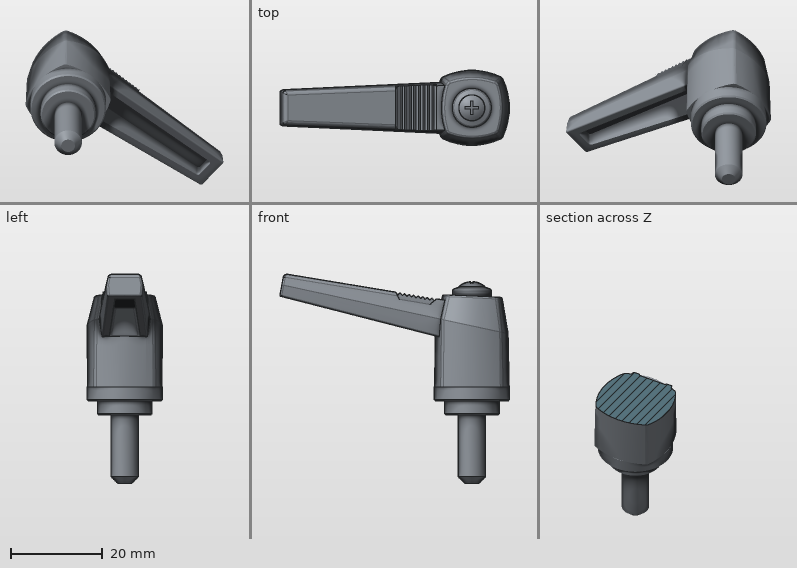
import cadquery as cq
import math


OVERALL_LENGTH = 50.15

STUD_DIA = 6.0
STUD_TIP_CHAMFER = 1.5
COLLAR_DIA = 12.0
COLLAR_BOTTOM_Z = 15.0
FLANGE_DIA = 16.5
FLANGE_BOTTOM_Z = 18.05
RIM_CHAMFER = 0.3

HUB_BOTTOM_Z = 21.05
BREAK_AXIS_Z = 34.4
BREAK_SLOPE = -0.216
HUB_TOP_AXIS_Z = 40.9
HUB_TOP_SLOPE = -0.045
HUB_BOTTOM_MID, HUB_BOTTOM_CORNER = 8.15, 6.6
BREAK_MID_X, BREAK_MID_Y, BREAK_CORNER = 7.9, 8.2, 6.4
HUB_TOP_MID_X, HUB_TOP_MID_Y, HUB_TOP_CORNER = 6.45, 6.55, 5.5
HUB_TOP_SHIFT_X = 0.15
HUB_CORNER_RADIUS = 1.25
HUB_TOP_RADIUS = 0.5

ROOT_X = -5.0
ROOT_TOP_Z, ROOT_BOTTOM_Z = 39.85, 31.45
ROOT_HALF_TOP, ROOT_HALF_MID, ROOT_HALF_BOTTOM = 4.9, 5.65, 5.0
TOP_SLOPE = -0.165
BOTTOM_SLOPE = -0.256
TIP_TOP_X = -41.0
TIP_ROUNDING_LOSS = 0.05
TIP_BOTTOM_X = FLANGE_DIA / 2 - OVERALL_LENGTH - TIP_ROUNDING_LOSS
TIP_HALF_TOP, TIP_HALF_MID, TIP_HALF_BOTTOM = 3.5, 3.95, 3.75
ARM_TOP_RADIUS = 0.9
TIP_SIDE_RADIUS = 0.45
ARM_BOTTOM_RADIUS = 0.3

GRIP_START_X, GRIP_END_X = -16.65, -7.7
GRIP_FLOOR_START_X, GRIP_FLOOR_END_X = -15.5, -9.65
GRIP_DEPTH = 2.0
GRIP_HALF_START, GRIP_HALF_END = 4.7, 5.05
GROOVE_COUNT = 9
GROOVE_PITCH = (GRIP_END_X - GRIP_START_X) / GROOVE_COUNT
GROOVE_DEPTH = 0.5

CHANNEL_START_X, CHANNEL_END_X = -39.55, -7.5
CEILING_DEPTH = 1.95
CHANNEL_HALF_START, CHANNEL_HALF_END = 2.1, 3.4
CEILING_HALF_START, CEILING_HALF_END = 1.9, 2.4
CHANNEL_CORNER_RADIUS = 0.5

WASHER_DIA = 8.5
WASHER_EDGE_Z = 42.3
WASHER_EDGE_RADIUS = 0.45
WASHER_TOP_DIA = 5.7
WASHER_TOP_Z = 42.85
HEAD_DIA = 5.6
HEAD_RIM_Z = 43.0
HEAD_TOP_Z = 44.05
CROSS_LENGTH, CROSS_WIDTH, CROSS_DEPTH = 2.9, 0.6, 0.5

REACH = 60.15
EDGE_TOLERANCE = 0.15


def arm_top_z(x):
    return ROOT_TOP_Z + TOP_SLOPE * (x - ROOT_X)


def arm_bottom_z(x):
    return ROOT_BOTTOM_Z + BOTTOM_SLOPE * (x - ROOT_X)


def break_z(x):
    return BREAK_AXIS_Z + BREAK_SLOPE * x


def fillet_where(body, test, radius):
    """Round the edges whose centre passes the test."""
    edges = [edge for edge in body.edges().vals() if test(edge.Center())]
    return body.newObject(edges).fillet(radius)


def hub_outline(axis_z, slope, mid_x, mid_y, corner, shift_x=0.0):
    """Bulged square wire on a plane that tilts along X, with its centre moved by shift_x."""
    def at(x, y):
        return cq.Vector(shift_x + x, y, axis_z + slope * (shift_x + x))

    corners = [at(corner, -corner), at(corner, corner), at(-corner, corner), at(-corner, -corner)]
    middles = [at(mid_x, 0), at(0, mid_y), at(-mid_x, 0), at(0, -mid_y)]
    edges = []
    for i, middle in enumerate(middles):
        edges.append(cq.Edge.makeThreePointArc(corners[i], middle, corners[(i + 1) % len(corners)]))
    return cq.Wire.assembleEdges(edges)


def make_hub():
    bottom = hub_outline(HUB_BOTTOM_Z, 0, HUB_BOTTOM_MID, HUB_BOTTOM_MID, HUB_BOTTOM_CORNER)
    middle = hub_outline(BREAK_AXIS_Z, BREAK_SLOPE, BREAK_MID_X, BREAK_MID_Y, BREAK_CORNER)
    top = hub_outline(
        HUB_TOP_AXIS_Z, HUB_TOP_SLOPE, HUB_TOP_MID_X, HUB_TOP_MID_Y, HUB_TOP_CORNER, HUB_TOP_SHIFT_X)
    hub = cq.Workplane(cq.Solid.makeLoft([bottom, middle, top], True))

    def on_corner(centre):
        return min(abs(centre.x), abs(centre.y)) > HUB_TOP_CORNER / 2

    hub = fillet_where(hub, on_corner, HUB_CORNER_RADIUS)
    return hub.faces(">Z").edges().fillet(HUB_TOP_RADIUS)


def arm_section(top, middle, bottom):
    """Closed six-sided wire; each argument is (x, half width, z)."""
    points = [cq.Vector(x, half, z) for x, half, z in (top, middle, bottom)]
    points += [cq.Vector(x, -half, z) for x, half, z in (bottom, middle, top)]
    return cq.Wire.makePolygon(points, close=True)


def make_plain_arm():
    drop_to_break = arm_top_z(TIP_TOP_X) - break_z(TIP_TOP_X)
    tip_height = arm_top_z(TIP_TOP_X) - arm_bottom_z(TIP_BOTTOM_X)
    tip_lean = (TIP_TOP_X - TIP_BOTTOM_X) / tip_height
    tip_mid_x = TIP_TOP_X - tip_lean * drop_to_break / (1 - tip_lean * BREAK_SLOPE)
    tip = arm_section(
        (TIP_TOP_X, TIP_HALF_TOP, arm_top_z(TIP_TOP_X)),
        (tip_mid_x, TIP_HALF_MID, break_z(tip_mid_x)),
        (TIP_BOTTOM_X, TIP_HALF_BOTTOM, arm_bottom_z(TIP_BOTTOM_X)),
    )
    root = arm_section(
        (ROOT_X, ROOT_HALF_TOP, ROOT_TOP_Z),
        (ROOT_X, ROOT_HALF_MID, break_z(ROOT_X)),
        (ROOT_X, ROOT_HALF_BOTTOM, ROOT_BOTTOM_Z),
    )
    return cq.Workplane(cq.Solid.makeLoft([tip, root], True))


def round_front_arm(arm):
    def on_top(centre):
        return centre.x < GRIP_START_X and abs(centre.z - arm_top_z(centre.x)) < EDGE_TOLERANCE

    def on_tip_side(centre):
        return centre.x < TIP_TOP_X and abs(centre.y) > TIP_HALF_TOP

    return fillet_where(fillet_where(arm, on_top, ARM_TOP_RADIUS), on_tip_side, TIP_SIDE_RADIUS)


def round_underside(arm):
    def on_bottom(centre):
        return centre.x < GRIP_START_X and abs(centre.z - arm_bottom_z(centre.x)) < EDGE_TOLERANCE

    return fillet_where(arm, on_bottom, ARM_BOTTOM_RADIUS)


def prism_along_y(points):
    """Extrude an X-Z outline symmetrically about the middle plane of the arm."""
    return cq.Workplane("XZ").polyline(points).close().extrude(REACH, both=True)


def below_top(x, depth):
    return (x, arm_top_z(x) - depth)


def make_grip():
    """Straight-sided pad that stands slightly proud of the drafted arm sides."""
    outline = [
        below_top(GRIP_START_X, 0),
        below_top(GRIP_FLOOR_START_X, GRIP_DEPTH),
        below_top(GRIP_FLOOR_END_X, GRIP_DEPTH),
        below_top(GRIP_END_X, 0),
    ]
    plan = [
        (GRIP_START_X, GRIP_HALF_START),
        (GRIP_END_X, GRIP_HALF_END),
        (GRIP_END_X, -GRIP_HALF_END),
        (GRIP_START_X, -GRIP_HALF_START),
    ]
    side_limits = cq.Workplane("XY").polyline(plan).close().extrude(REACH)
    return prism_along_y(outline).intersect(side_limits)


def cut_grooves(arm):
    """Row of V grooves across the top of the pad."""
    for i in range(GROOVE_COUNT):
        start = GRIP_START_X + i * GROOVE_PITCH
        groove = [
            below_top(start, 0),
            below_top(start + GROOVE_PITCH / 2, GROOVE_DEPTH),
            below_top(start + GROOVE_PITCH, 0),
            below_top(start + GROOVE_PITCH / 2, -GROOVE_DEPTH),
        ]
        arm = arm.cut(prism_along_y(groove))
    return arm


def make_arm():
    """Arm that is rounded on top in front of the grip and sharp-edged from the grip to the hub."""
    rear_zone = prism_along_y(
        [
            below_top(GRIP_START_X, -GRIP_DEPTH),
            below_top(GRIP_START_X, 0),
            below_top(GRIP_FLOOR_START_X, GRIP_DEPTH),
            below_top(ROOT_X, GRIP_DEPTH),
            below_top(ROOT_X, -GRIP_DEPTH),
        ]
    )
    plain = make_plain_arm()
    front = round_underside(round_front_arm(plain)).cut(rear_zone)
    arm = front.union(plain.intersect(rear_zone)).union(make_grip())
    return cut_grooves(arm)


def channel_section(x, half_top, half_bottom):
    top = arm_top_z(x) - CEILING_DEPTH
    bottom = arm_bottom_z(x)
    points = [(half_top, top), (half_bottom, bottom), (-half_bottom, bottom), (-half_top, top)]
    return cq.Wire.makePolygon([cq.Vector(x, y, z) for y, z in points], close=True)


def make_channel():
    start = channel_section(CHANNEL_START_X, CEILING_HALF_START, CHANNEL_HALF_START)
    end = channel_section(CHANNEL_END_X, CEILING_HALF_END, CHANNEL_HALF_END)
    channel = cq.Workplane(cq.Solid.makeLoft([start, end], True))
    upright_edges = channel.faces("<X or >X").edges("not #Z").edges("not |Y")
    return upright_edges.fillet(CHANNEL_CORNER_RADIUS)


def make_shaft():
    """Stud, collar and flange, each a cylinder with a chamfered lower rim."""
    def cylinder(dia, bottom_z, top_z, chamfer):
        disc = cq.Workplane("XY").workplane(offset=bottom_z).circle(dia / 2).extrude(top_z - bottom_z)
        return disc.faces("<Z").chamfer(chamfer)

    stud = cylinder(STUD_DIA, 0, FLANGE_BOTTOM_Z, STUD_TIP_CHAMFER)
    collar = cylinder(COLLAR_DIA, COLLAR_BOTTOM_Z, HUB_BOTTOM_Z, RIM_CHAMFER)
    flange = cylinder(FLANGE_DIA, FLANGE_BOTTOM_Z, HUB_BOTTOM_Z, RIM_CHAMFER)
    return stud.union(collar).union(flange)


def make_screw_head():
    """Washer, its hidden shank and the dome turned about Z, with a cross recess."""
    head_r = HEAD_DIA / 2
    dome_height = HEAD_TOP_Z - HEAD_RIM_Z
    dome_radius = (head_r**2 + dome_height**2) / (2 * dome_height)
    half_r = head_r / 2
    dome_mid_z = HEAD_TOP_Z - dome_radius + math.sqrt(dome_radius**2 - half_r**2)
    head = (
        cq.Workplane("XZ")
        .moveTo(0, HUB_BOTTOM_Z)
        .lineTo(WASHER_DIA / 2, HUB_BOTTOM_Z)
        .lineTo(WASHER_DIA / 2, WASHER_EDGE_Z)
        .lineTo(WASHER_TOP_DIA / 2, WASHER_TOP_Z)
        .lineTo(head_r, WASHER_TOP_Z)
        .lineTo(head_r, HEAD_RIM_Z)
        .threePointArc((half_r, dome_mid_z), (0, HEAD_TOP_Z))
        .close()
        .revolve()
    )

    def on_washer_edge(centre):
        return abs(centre.z - WASHER_EDGE_Z) < EDGE_TOLERANCE

    head = fillet_where(head, on_washer_edge, WASHER_EDGE_RADIUS)
    recess = cq.Workplane("XY").workplane(offset=HEAD_TOP_Z - CROSS_DEPTH)
    for length_x, length_y in ((CROSS_LENGTH, CROSS_WIDTH), (CROSS_WIDTH, CROSS_LENGTH)):
        head = head.cut(recess.rect(length_x, length_y).extrude(CROSS_DEPTH))
    return head


lever = make_hub().union(make_arm()).cut(make_channel())
result = lever.union(make_shaft()).union(make_screw_head())